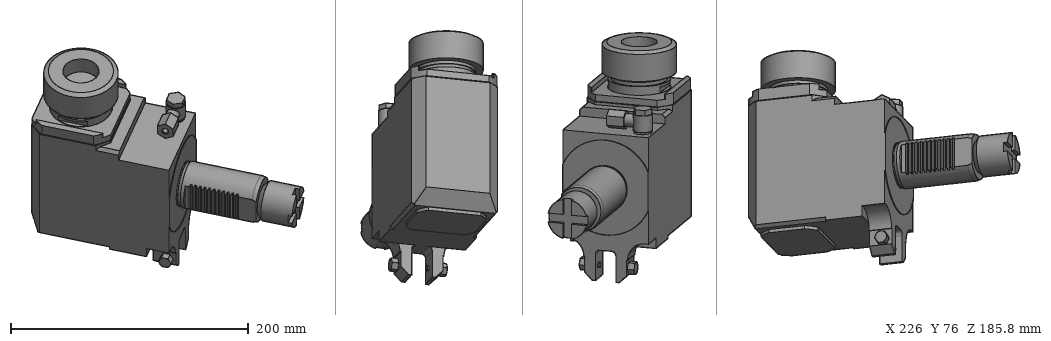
import cadquery as cq
import math


WIDTH = 76.0
HALF_WIDTH = WIDTH / 2
HEAD_HALF_LENGTH = 34.8
SHANK_FACE_X = 89.3
BLOCK_BOTTOM_Z = -55.5
HEAD_TOP_Z = 58.0
STEP_END_X = 45.0
STEP_TOP_Z = 55.1
REAR_TOP_Z = 47.0
CORNER_CHAMFER = 10.0
EDGE_CHAMFER = 2.7
FRONT_BEVEL_LENGTH = 8.5
FRONT_BEVEL_HEIGHT = 14.2
BOTTOM_CHAMFER_END_X = 36.8

PLATE_RADIUS = 44.3
PLATE_TOP_Z = 64.0
EAR_TOP_Z = 68.2
EAR_INNER_Y = 32.3
EAR_HALF_LENGTH = 29.4
SEAM_GROOVE = 0.5
COVER_LENGTH = 50.5
COVER_WIDTH = 61.0
COVER_RADIUS = 34.3
COVER_THICKNESS = 3.0

FOOT_LENGTH = 19.9
FOOT_X = SHANK_FACE_X - FOOT_LENGTH
RELIEF_TOP_Z = -46.3
RELIEF_RADIUS = 16.0
FOOT_ROOT_HALF_WIDTH = 19.5
FOOT_HALF_WIDTH = 18.5
FOOT_BOTTOM_Z = -82.5
FOOT_CHAMFER = 6.5
SLOT_HALF_WIDTH = 9.0
SLOT_FILLET = 3.8
SCREW_X = 81.3
SCREW_Z = -70.7
SCREW_FLATS = 10.0
SCREW_HEAD = 5.9
SCREW_CORNER_CHAMFER = 0.56
SCREW_TIP_RADIUS = 2.3
SCREW_TIP = 1.4

PILOT_RADIUS = 41.5
PILOT_END_X = 90.0
SHANK_RADIUS = 20.0
SHANK_START_X = 93.8
SHANK_END_X = 159.3
ROOT_RADIUS = 19.5
ROOT_END_X = 91.0
NECK_RADIUS = 19.0
SHANK_CHAMFER_LENGTH = 3.6
SHANK_CHAMFER_DEPTH = 1.0
FLAT_Y = -15.8
FLAT_START_X = 96.7
TOOTH_PITCH = 4.0
GROOVE_COUNT = 11
FIRST_GROOVE_X = 101.7
GROOVE_DEPTH = 1.5
GROOVE_TOP_WIDTH = 3.0
GROOVE_FLOOR_WIDTH = 1.1

COUPLING_RADIUS = 17.5
COUPLING_END_X = 191.2
CONE_START_RADIUS = 13.0
CONE_LENGTH = 4.5
CROSS_SLOT_WIDTH = 8.0
CROSS_SLOT_DEPTH = 3.5

FITTING_X = 74.8
FITTING_Y = 28.2
BASE_DIAMETER = 15.1
BASE_HEIGHT = 1.8
FITTING_DIAMETER = 16.5
FITTING_TOP_Z = 63.5
FITTING_HEX_FLATS = 14.0
FITTING_HEAD_TOP_Z = EAR_TOP_Z
NOZZLE_Z = 56.5
PIPE_DIAMETER = 11.0
NOZZLE_NUT_START_Y = 13.3
NOZZLE_NUT_LENGTH = 15.1
NOZZLE_BORE_DIAMETER = 4.7
NOZZLE_SINK_DIAMETER = 6.0

NUT_RADIUS = 31.5
NUT_TOP_Z = 103.3
NUT_BOTTOM_Z = 77.5
NUT_CHAMFER_WIDTH = 4.0
NUT_CHAMFER_HEIGHT = 2.0
BORE_RADIUS = 15.1
BORE_DEPTH = 14.5
UPPER_NECK_RADIUS = 25.0
UPPER_NECK_BOTTOM_Z = 74.8
GROOVE_RADIUS = 24.2
COLLAR_TOP_Z = 71.5
COLLAR_RADIUS = 26.2
WRENCH_FLAT_Y = 22.8
WRENCH_FLAT_TOP_Z = 69.1
SPINDLE_CLEARANCE = 0.5

HEX_CORNER_RATIO = 2 / math.sqrt(3)


def box(x0, x1, y0, y1, z0, z1):
    """Box between two opposite corners."""
    return cq.Workplane("XY").box(x1 - x0, y1 - y0, z1 - z0, centered=False).translate((x0, y0, z0))


def cylinder(radius, z0, z1):
    """Cylinder around the spindle axis."""
    return cq.Workplane("XY").workplane(offset=z0).circle(radius).extrude(z1 - z0)


def both_sides(shape):
    """The shape and its mirror image across the XZ plane."""
    return shape.union(shape.mirror("XZ"))


def make_block():
    """Head with chamfered corners, a step beside it and the lower rear part."""
    head = box(-HEAD_HALF_LENGTH, HEAD_HALF_LENGTH, -HALF_WIDTH, HALF_WIDTH, BLOCK_BOTTOM_Z, HEAD_TOP_Z)
    head = head.edges("|Z").chamfer(CORNER_CHAMFER)
    step = box(0, STEP_END_X, -HALF_WIDTH, HALF_WIDTH, BLOCK_BOTTOM_Z, STEP_TOP_Z)
    step = step.edges("|X and >Z").chamfer(EDGE_CHAMFER)
    rear = box(0, SHANK_FACE_X, -HALF_WIDTH, HALF_WIDTH, BLOCK_BOTTOM_Z, REAR_TOP_Z)
    block = head.union(step).union(rear)

    front_bevel = (
        cq.Workplane("XZ")
        .moveTo(-HEAD_HALF_LENGTH, BLOCK_BOTTOM_Z)
        .lineTo(-HEAD_HALF_LENGTH + FRONT_BEVEL_LENGTH, BLOCK_BOTTOM_Z)
        .lineTo(-HEAD_HALF_LENGTH, BLOCK_BOTTOM_Z + FRONT_BEVEL_HEIGHT)
        .close()
        .extrude(HALF_WIDTH, both=True)
    )
    bottom_chamfer = (
        cq.Workplane("YZ", origin=(-HEAD_HALF_LENGTH, 0, 0))
        .moveTo(-HALF_WIDTH, BLOCK_BOTTOM_Z)
        .lineTo(-HALF_WIDTH + EDGE_CHAMFER, BLOCK_BOTTOM_Z)
        .lineTo(-HALF_WIDTH, BLOCK_BOTTOM_Z + EDGE_CHAMFER)
        .close()
        .extrude(BOTTOM_CHAMFER_END_X + HEAD_HALF_LENGTH)
    )
    return block.cut(front_bevel).cut(both_sides(bottom_chamfer))


def make_head_plate():
    """Plate with turned corners and an upright ear along each Y edge."""
    base = box(-HEAD_HALF_LENGTH, HEAD_HALF_LENGTH, -HALF_WIDTH, HALF_WIDTH, HEAD_TOP_Z, PLATE_TOP_Z)
    ear = box(-EAR_HALF_LENGTH, EAR_HALF_LENGTH, -HALF_WIDTH, -EAR_INNER_Y, HEAD_TOP_Z, EAR_TOP_Z)
    turned_outline = cylinder(PLATE_RADIUS, HEAD_TOP_Z, EAR_TOP_Z)
    return base.union(both_sides(ear)).intersect(turned_outline)


def make_seam_groove():
    """Shallow groove around the top of the head, just below the plate."""
    half_length = HEAD_HALF_LENGTH
    groove_bottom = HEAD_TOP_Z - SEAM_GROOVE
    ring = box(-half_length, half_length, -HALF_WIDTH, HALF_WIDTH, groove_bottom, HEAD_TOP_Z)
    core = box(
        -half_length + SEAM_GROOVE,
        half_length - SEAM_GROOVE,
        -HALF_WIDTH + SEAM_GROOVE,
        HALF_WIDTH - SEAM_GROOVE,
        groove_bottom,
        HEAD_TOP_Z,
    )
    return ring.cut(core)


def make_bottom_cover():
    """Thin cover under the block with turned corners."""
    cover_bottom = BLOCK_BOTTOM_Z - COVER_THICKNESS
    half_length = COVER_LENGTH / 2
    half_width = COVER_WIDTH / 2
    cover = box(-half_length, half_length, -half_width, half_width, cover_bottom, BLOCK_BOTTOM_Z)
    return cover.intersect(cylinder(COVER_RADIUS, cover_bottom, BLOCK_BOTTOM_Z))


def make_foot_relief():
    """Cut beside the foot on the -Y side, with a concave round into the leg."""
    round_end_y = FOOT_ROOT_HALF_WIDTH + RELIEF_RADIUS
    round_end_z = RELIEF_TOP_Z - RELIEF_RADIUS
    sine45 = math.sqrt(0.5)
    return (
        cq.Workplane("YZ", origin=(FOOT_X, 0, 0))
        .moveTo(-HALF_WIDTH, RELIEF_TOP_Z)
        .lineTo(-round_end_y, RELIEF_TOP_Z)
        .threePointArc(
            (-round_end_y + RELIEF_RADIUS * sine45, round_end_z + RELIEF_RADIUS * sine45),
            (-FOOT_ROOT_HALF_WIDTH, round_end_z),
        )
        .lineTo(-HALF_WIDTH, round_end_z)
        .close()
        .extrude(FOOT_LENGTH)
    )


def make_foot():
    """Leg pair below the block, wider at the root, chamfered outside at the bottom."""
    root_bottom = RELIEF_TOP_Z - RELIEF_RADIUS
    root = box(FOOT_X, SHANK_FACE_X, -HALF_WIDTH, HALF_WIDTH, root_bottom, BLOCK_BOTTOM_Z)
    stem = box(FOOT_X, SHANK_FACE_X, -FOOT_HALF_WIDTH, FOOT_HALF_WIDTH, FOOT_BOTTOM_Z, root_bottom)
    stem = stem.edges("|X and <Z").chamfer(FOOT_CHAMFER)
    slot = box(FOOT_X, SHANK_FACE_X, -SLOT_HALF_WIDTH, SLOT_HALF_WIDTH, FOOT_BOTTOM_Z, BLOCK_BOTTOM_Z)
    slot = slot.edges("|X and >Z").fillet(SLOT_FILLET)
    return root.union(stem).cut(slot)


def make_clamp_screw():
    """Hexagon head outside the -Y leg and a round tip inside it."""
    screw_plane = cq.Workplane("XZ", origin=(SCREW_X, -SLOT_HALF_WIDTH, SCREW_Z))
    head_length = FOOT_HALF_WIDTH - SLOT_HALF_WIDTH + SCREW_HEAD
    corner_diameter = SCREW_FLATS * HEX_CORNER_RATIO
    rounding = screw_plane.circle(corner_diameter / 2).extrude(head_length)
    rounding = rounding.faces("<Y").chamfer(SCREW_CORNER_CHAMFER)
    head = screw_plane.polygon(6, corner_diameter).extrude(head_length).intersect(rounding)
    tip = screw_plane.circle(SCREW_TIP_RADIUS).extrude(-SCREW_TIP)
    return head.union(tip)


def make_shank():
    """Turned shank with its pilot disc, end chamfer and drive coupling."""
    cone_end_x = SHANK_END_X + CONE_LENGTH
    shank = (
        cq.Workplane("XZ")
        .moveTo(SHANK_FACE_X, 0)
        .lineTo(SHANK_FACE_X, ROOT_RADIUS)
        .lineTo(ROOT_END_X, ROOT_RADIUS)
        .lineTo(ROOT_END_X, NECK_RADIUS)
        .lineTo(SHANK_START_X, SHANK_RADIUS)
        .lineTo(SHANK_END_X - SHANK_CHAMFER_LENGTH, SHANK_RADIUS)
        .lineTo(SHANK_END_X, SHANK_RADIUS - SHANK_CHAMFER_DEPTH)
        .lineTo(SHANK_END_X, CONE_START_RADIUS)
        .lineTo(cone_end_x, COUPLING_RADIUS)
        .lineTo(COUPLING_END_X, COUPLING_RADIUS)
        .lineTo(COUPLING_END_X, 0)
        .close()
        .revolve(360, (0, 0, 0), (1, 0, 0))
    )
    pilot = cq.Workplane("YZ", origin=(SHANK_FACE_X, 0, 0)).circle(PILOT_RADIUS)
    pilot = pilot.extrude(PILOT_END_X - SHANK_FACE_X)
    pilot_limits = box(
        SHANK_FACE_X, PILOT_END_X, -HALF_WIDTH, HALF_WIDTH, -PILOT_RADIUS, PILOT_RADIUS
    )
    return shank.union(pilot.intersect(pilot_limits))


def make_tooth_groove(x):
    """Trapezoidal groove across the shank flat, centred at x."""
    return (
        cq.Workplane("XY")
        .moveTo(x - GROOVE_TOP_WIDTH / 2, FLAT_Y)
        .lineTo(x - GROOVE_FLOOR_WIDTH / 2, FLAT_Y + GROOVE_DEPTH)
        .lineTo(x + GROOVE_FLOOR_WIDTH / 2, FLAT_Y + GROOVE_DEPTH)
        .lineTo(x + GROOVE_TOP_WIDTH / 2, FLAT_Y)
        .close()
        .extrude(SHANK_RADIUS, both=True)
    )


def cut_shank_details(shank):
    """Flat with its row of teeth, and the crossed slots in the coupling end."""
    flat = box(FLAT_START_X, SHANK_END_X, -SHANK_RADIUS, FLAT_Y, -SHANK_RADIUS, SHANK_RADIUS)
    shank = shank.cut(flat)
    for i in range(GROOVE_COUNT):
        shank = shank.cut(make_tooth_groove(FIRST_GROOVE_X + i * TOOTH_PITCH))

    slot_floor_x = COUPLING_END_X - CROSS_SLOT_DEPTH
    half_slot = CROSS_SLOT_WIDTH / 2
    radius = COUPLING_RADIUS
    slot_along_y = box(slot_floor_x, COUPLING_END_X, -radius, radius, -half_slot, half_slot)
    slot_along_z = box(slot_floor_x, COUPLING_END_X, -half_slot, half_slot, -radius, radius)
    return shank.cut(slot_along_y).cut(slot_along_z)


def make_coolant_fitting():
    """Banjo bolt standing on the rear top face, with a nozzle pointing to -Y."""
    fitting = cq.Workplane("XY", origin=(FITTING_X, FITTING_Y, REAR_TOP_Z))
    body_height = FITTING_TOP_Z - REAR_TOP_Z - BASE_HEIGHT
    base = fitting.circle(BASE_DIAMETER / 2).extrude(BASE_HEIGHT)
    body = fitting.workplane(offset=BASE_HEIGHT).circle(FITTING_DIAMETER / 2).extrude(body_height)
    head = (
        fitting.workplane(offset=FITTING_TOP_Z - REAR_TOP_Z)
        .transformed(rotate=(0, 0, 90))
        .polygon(6, FITTING_HEX_FLATS * HEX_CORNER_RATIO)
        .extrude(FITTING_HEAD_TOP_Z - FITTING_TOP_Z)
    )

    pipe = cq.Workplane("XZ", origin=(FITTING_X, FITTING_Y, NOZZLE_Z)).circle(PIPE_DIAMETER / 2)
    pipe = pipe.extrude(FITTING_Y - NOZZLE_NUT_START_Y)
    nut = (
        cq.Workplane("XZ", origin=(FITTING_X, NOZZLE_NUT_START_Y, NOZZLE_Z))
        .transformed(rotate=(0, 0, 90))
        .polygon(6, FITTING_HEX_FLATS * HEX_CORNER_RATIO)
        .extrude(NOZZLE_NUT_LENGTH)
        .faces("<Y")
        .workplane(centerOption="CenterOfMass")
        .cskHole(NOZZLE_BORE_DIAMETER, NOZZLE_SINK_DIAMETER, 90, NOZZLE_NUT_LENGTH)
    )
    return base.union(body).union(head).union(pipe).union(nut)


def make_housing():
    """Block, head plate, cover, foot, shank and coolant fitting as one solid."""
    housing = make_block().union(make_head_plate()).cut(make_seam_groove())
    housing = housing.union(make_bottom_cover())
    housing = housing.union(make_foot()).cut(both_sides(make_foot_relief()))
    housing = housing.union(both_sides(make_clamp_screw()))
    housing = housing.union(cut_shank_details(make_shank()))
    housing = housing.union(make_coolant_fitting())
    spindle_seat = cylinder(COLLAR_RADIUS + SPINDLE_CLEARANCE, HEAD_TOP_Z, PLATE_TOP_Z)
    return housing.cut(spindle_seat)


def make_spindle():
    """Turned spindle nose with clamping nut, blind bore and two wrench flats."""
    spindle = (
        cq.Workplane("XZ")
        .moveTo(0, HEAD_TOP_Z)
        .lineTo(COLLAR_RADIUS, HEAD_TOP_Z)
        .lineTo(COLLAR_RADIUS, COLLAR_TOP_Z)
        .lineTo(GROOVE_RADIUS, COLLAR_TOP_Z)
        .lineTo(GROOVE_RADIUS, UPPER_NECK_BOTTOM_Z)
        .lineTo(UPPER_NECK_RADIUS, UPPER_NECK_BOTTOM_Z)
        .lineTo(UPPER_NECK_RADIUS, NUT_BOTTOM_Z)
        .lineTo(NUT_RADIUS, NUT_BOTTOM_Z)
        .lineTo(NUT_RADIUS, NUT_TOP_Z - NUT_CHAMFER_HEIGHT)
        .lineTo(NUT_RADIUS - NUT_CHAMFER_WIDTH, NUT_TOP_Z)
        .lineTo(BORE_RADIUS, NUT_TOP_Z)
        .lineTo(BORE_RADIUS, NUT_TOP_Z - BORE_DEPTH)
        .lineTo(0, NUT_TOP_Z - BORE_DEPTH)
        .close()
        .revolve(360, (0, 0, 0), (0, 1, 0))
    )
    wrench_flat = box(
        -COLLAR_RADIUS, COLLAR_RADIUS, -COLLAR_RADIUS, -WRENCH_FLAT_Y, PLATE_TOP_Z, WRENCH_FLAT_TOP_Z
    )
    return spindle.cut(both_sides(wrench_flat))


housing = make_housing()
spindle = make_spindle()

result = cq.Compound.makeCompound([housing.solids().val(), spindle.solids().val()])